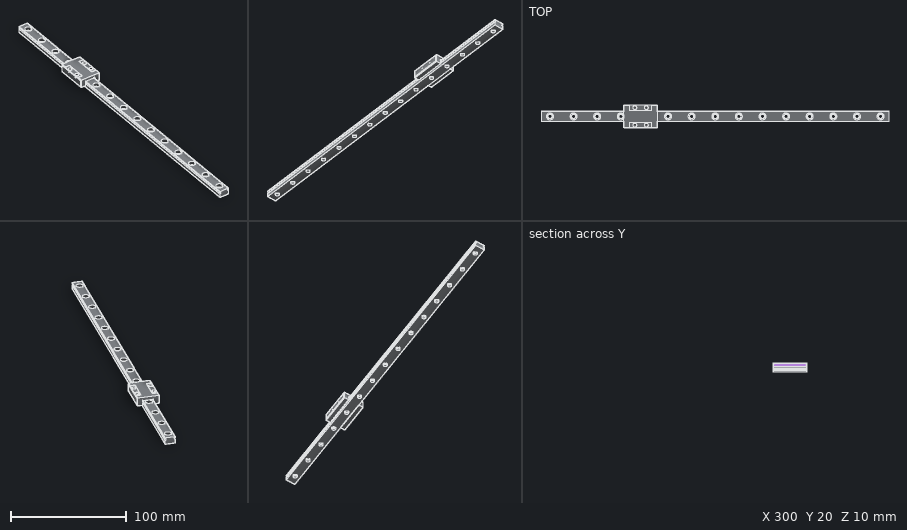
import cadquery as cq

RAIL_LENGTH = 300.0
RAIL_WIDTH = 9.0
RAIL_HEIGHT = 6.3

GROOVE_DEPTH = 1.0
GROOVE_CENTRE_Z = 4.5

RAIL_HOLE_COUNT = 15
RAIL_HOLE_END = 7.5
RAIL_HOLE_PITCH = (RAIL_LENGTH - 2 * RAIL_HOLE_END) / (RAIL_HOLE_COUNT - 1)
RAIL_HOLE_DIAMETER = 3.5
COUNTERBORE_DIAMETER = 6.0
COUNTERBORE_DEPTH = 3.5

CARRIAGE_START_X = 71.0
CARRIAGE_LENGTH = 29.0
CARRIAGE_WIDTH = 20.0
CARRIAGE_TOP_Z = 10.0
CARRIAGE_BOTTOM_Z = 2.0
CARRIAGE_CHAMFER = 0.5
CARRIAGE_CENTRE_X = CARRIAGE_START_X + CARRIAGE_LENGTH / 2

CLEARANCE = 0.45

PAD_LENGTH = 19.0
PAD_INNER_Y = 5.0
PAD_DEPTH = 0.3
PAD_WIDTH = CARRIAGE_WIDTH / 2 - PAD_INNER_Y
PAD_CENTRE_Y = PAD_INNER_Y + PAD_WIDTH / 2

SCREW_PITCH_X = 10.0
SCREW_PITCH_Y = 15.0
SCREW_DIAMETER = 3.3
SCREW_DEPTH = 3.0
DRILL_TIP_DEPTH = 1.0


def rail_bar(start_x, length, offset):
    """Grooved bar along X with the rail section grown outwards by offset."""
    half_width = RAIL_WIDTH / 2 + offset
    height = RAIL_HEIGHT + offset
    groove_low = GROOVE_CENTRE_Z - GROOVE_DEPTH
    groove_high = GROOVE_CENTRE_Z + GROOVE_DEPTH
    groove_floor = half_width - GROOVE_DEPTH
    return (
        cq.Workplane("YZ", origin=(start_x, 0, 0))
        .moveTo(-half_width, 0)
        .lineTo(half_width, 0)
        .lineTo(half_width, groove_low)
        .lineTo(groove_floor, GROOVE_CENTRE_Z)
        .lineTo(half_width, groove_high)
        .lineTo(half_width, height)
        .lineTo(-half_width, height)
        .lineTo(-half_width, groove_high)
        .lineTo(-groove_floor, GROOVE_CENTRE_Z)
        .lineTo(-half_width, groove_low)
        .close()
        .extrude(length)
    )


def make_rail():
    """Grooved rail with its row of counterbored holes."""
    bar = rail_bar(0, RAIL_LENGTH, 0)
    hole_points = [(RAIL_HOLE_END + i * RAIL_HOLE_PITCH, 0) for i in range(RAIL_HOLE_COUNT)]
    top = cq.Workplane("XY", origin=(0, 0, RAIL_HEIGHT)).pushPoints(hole_points)
    holes = top.circle(RAIL_HOLE_DIAMETER / 2).extrude(-RAIL_HEIGHT)
    counterbores = top.circle(COUNTERBORE_DIAMETER / 2).extrude(-COUNTERBORE_DEPTH)
    return bar.cut(holes).cut(counterbores)


def make_block():
    """Carriage block with chamfered long edges and upright corners."""
    bottom = cq.Workplane("XY", origin=(CARRIAGE_CENTRE_X, 0, CARRIAGE_BOTTOM_Z))
    block = bottom.rect(CARRIAGE_LENGTH, CARRIAGE_WIDTH).extrude(CARRIAGE_TOP_Z - CARRIAGE_BOTTOM_Z)
    return block.edges("|X or |Z").chamfer(CARRIAGE_CHAMFER)


def screw_hole(centre):
    """Blind screw hole with its mouth at the given centre point."""
    radius = SCREW_DIAMETER / 2
    return (
        cq.Workplane("XZ", origin=centre)
        .lineTo(radius, 0)
        .lineTo(radius, -SCREW_DEPTH)
        .lineTo(0, -SCREW_DEPTH - DRILL_TIP_DEPTH)
        .close()
        .revolve(360, (0, 0, 0), (0, 1, 0))
    )


def make_carriage():
    """Block with the rail channel, the two sunken pads and the screw holes."""
    channel = rail_bar(CARRIAGE_START_X, CARRIAGE_LENGTH, CLEARANCE)
    top = cq.Workplane("XY", origin=(CARRIAGE_CENTRE_X, 0, CARRIAGE_TOP_Z))
    pads = top.rarray(3, 2 * PAD_CENTRE_Y, 1, 2).rect(PAD_LENGTH, PAD_WIDTH).extrude(-PAD_DEPTH)
    carriage = make_block().cut(channel).cut(pads)
    for side_x in (-1, 1):
        for side_y in (-1, 1):
            hole_x = CARRIAGE_CENTRE_X + side_x * SCREW_PITCH_X / 2
            hole_y = side_y * SCREW_PITCH_Y / 2
            carriage = carriage.cut(screw_hole((hole_x, hole_y, CARRIAGE_TOP_Z)))
    return carriage


rail = make_rail()
carriage = make_carriage()
result = cq.Compound.makeCompound([rail.val(), carriage.val()])